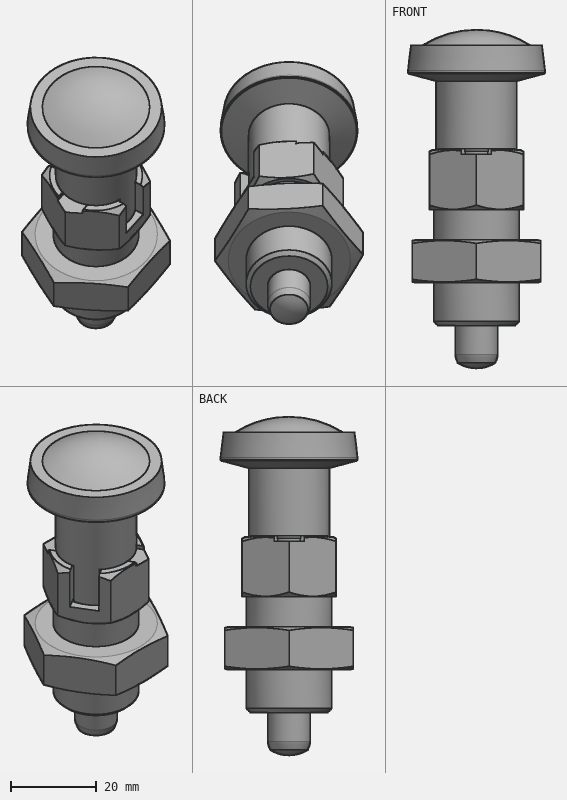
import cadquery as cq
import math


NOSE_SHOULDER_Z = 1.3
PIN_STRAIGHT_Z = 3.3
BODY_BOTTOM_Z = 10.0
NUT_BOTTOM_Z = 20.0
NUT_HEIGHT = 10.0
HEX_BOTTOM_Z = 37.0
HEX_HEIGHT = 14.0
HEX_TOP_Z = HEX_BOTTOM_Z + HEX_HEIGHT
KNOB_BOTTOM_Z = 67.0
KNOB_RIM_Z = 69.55
KNOB_SHOULDER_Z = 75.4
TOTAL_HEIGHT = 79.0

PIN_R = 10.0 / 2
NOSE_SHOULDER_R = 4.4
NOSE_FLANK_BULGE = 0.1
BODY_R = 20.0 / 2
BODY_CHAMFER = 1.0

NUT_ACROSS_FLATS = 30.0
NUT_FACE_D = 28.5
NUT_CHAMFER_ANGLE = 15.0
HEX_ACROSS_FLATS = 22.0
HEX_FACE_D = 21.6
HEX_CHAMFER_ANGLE = 30.0

NOTCH_WIDTH = 7.0
DEEP_NOTCH_DEPTH = 10.0
SHALLOW_NOTCH_DEPTH = 1.0

SLEEVE_R = 18.9 / 2
SLEEVE_GAP = 0.2
KEY_WIDTH = 6.1
SPINDLE_R = 8.0 / 2
COLLAR_R = 8.2 / 2
COLLAR_Z = 50.6

KNOB_R = 32.0 / 2
KNOB_SHOULDER_R = 15.3
RIM_BREAK = 0.25
KNOB_UNDERSIDE_ANGLE = 15.0
DOME_R = 12.5


def rise(run, angle):
    """Height gained over a radial run on a cone of the given slope in degrees."""
    return run * math.tan(math.radians(angle))


def revolve_profile(profile):
    """Turn a closed radius-height profile about the Z axis."""
    return profile.close().revolve(360, (0, 0, 0), (0, 1, 0))


def arc_sagitta(chord_radius, cap_height, radius):
    """Drop below the apex, at a given radius, of a spherical cap."""
    sphere_r = (chord_radius**2 + cap_height**2) / (2 * cap_height)
    return sphere_r - math.sqrt(sphere_r**2 - radius**2)


def make_disc(radius, bottom_z, top_z):
    """Round cylinder on the Z axis between two heights."""
    return cq.Workplane("XY", origin=(0, 0, bottom_z)).circle(radius).extrude(top_z - bottom_z)


def make_pin():
    """Locating pin with a curved flank and a shallow domed nose."""
    cap_mid_r = NOSE_SHOULDER_R / 2
    cap_mid_z = arc_sagitta(NOSE_SHOULDER_R, NOSE_SHOULDER_Z, cap_mid_r)
    flank_mid_r = (NOSE_SHOULDER_R + PIN_R) / 2 + NOSE_FLANK_BULGE
    flank_mid_z = (NOSE_SHOULDER_Z + PIN_STRAIGHT_Z) / 2
    return revolve_profile(
        cq.Workplane("XZ")
        .moveTo(0, 0)
        .threePointArc((cap_mid_r, cap_mid_z), (NOSE_SHOULDER_R, NOSE_SHOULDER_Z))
        .threePointArc((flank_mid_r, flank_mid_z), (PIN_R, PIN_STRAIGHT_Z))
        .lineTo(PIN_R, BODY_BOTTOM_Z)
        .lineTo(0, BODY_BOTTOM_Z)
    )


def make_body():
    """Threaded body as a plain cylinder with a chamfered lower end."""
    return make_disc(BODY_R, BODY_BOTTOM_Z, HEX_BOTTOM_Z).faces("<Z").chamfer(BODY_CHAMFER)


def make_hexagon(bottom_z, height, across_flats, face_d, chamfer_angle):
    """Hexagonal prism with both ends turned down to a cone of the given slope."""
    corner_r = across_flats / math.sqrt(3)
    face_r = face_d / 2
    corner_drop = rise(corner_r - face_r, chamfer_angle)
    prism = (
        cq.Workplane("XY", origin=(0, 0, bottom_z))
        .transformed(rotate=(0, 0, 90))
        .polygon(6, 2 * corner_r)
        .extrude(height)
    )
    turned_envelope = revolve_profile(
        cq.Workplane("XZ")
        .moveTo(0, bottom_z)
        .lineTo(face_r, bottom_z)
        .lineTo(corner_r, bottom_z + corner_drop)
        .lineTo(corner_r, bottom_z + height - corner_drop)
        .lineTo(face_r, bottom_z + height)
        .lineTo(0, bottom_z + height)
    )
    return prism.intersect(turned_envelope)


def cut_notches(hexagon):
    """Deep notch across the hexagon along X, shallow notch across it along Y."""
    length = 2 * HEX_ACROSS_FLATS
    top = cq.Workplane("XY", origin=(0, 0, HEX_TOP_Z))
    deep = top.rect(length, NOTCH_WIDTH).extrude(-DEEP_NOTCH_DEPTH)
    shallow = top.rect(NOTCH_WIDTH, length).extrude(-SHALLOW_NOTCH_DEPTH)
    return hexagon.cut(deep).cut(shallow)


def make_sleeve():
    """Round sleeve whose flat-sided key hangs down into the deep notch."""
    bottom_z = HEX_TOP_Z + SLEEVE_GAP
    key_bottom_z = bottom_z - DEEP_NOTCH_DEPTH
    key_bounds = (
        cq.Workplane("XY", origin=(0, 0, key_bottom_z))
        .rect(2 * SLEEVE_R, KEY_WIDTH)
        .extrude(DEEP_NOTCH_DEPTH)
    )
    key = make_disc(SLEEVE_R, key_bottom_z, bottom_z).intersect(key_bounds)
    return make_disc(SLEEVE_R, bottom_z, KNOB_BOTTOM_Z).union(key)


def make_spindle():
    """Spindle joining sleeve and hexagon, with a slightly larger collar on top."""
    spindle = make_disc(SPINDLE_R, HEX_TOP_Z - DEEP_NOTCH_DEPTH, COLLAR_Z)
    collar = make_disc(COLLAR_R, COLLAR_Z, HEX_TOP_Z + SLEEVE_GAP)
    return spindle.union(collar)


def make_knob():
    """Knob with a conical underside, straight rim band, tapered side and domed top."""
    cone_r = KNOB_R - RIM_BREAK
    cone_z = KNOB_BOTTOM_Z + rise(cone_r - SLEEVE_R, KNOB_UNDERSIDE_ANGLE)
    dome_mid_r = DOME_R / 2
    dome_mid_z = TOTAL_HEIGHT - arc_sagitta(DOME_R, TOTAL_HEIGHT - KNOB_SHOULDER_Z, dome_mid_r)
    return revolve_profile(
        cq.Workplane("XZ")
        .moveTo(0, KNOB_BOTTOM_Z)
        .lineTo(SLEEVE_R, KNOB_BOTTOM_Z)
        .lineTo(cone_r, cone_z)
        .lineTo(KNOB_R, cone_z + RIM_BREAK)
        .lineTo(KNOB_R, KNOB_RIM_Z)
        .lineTo(KNOB_SHOULDER_R, KNOB_SHOULDER_Z)
        .lineTo(DOME_R, KNOB_SHOULDER_Z)
        .threePointArc((dome_mid_r, dome_mid_z), (0, TOTAL_HEIGHT))
    )


nut = make_hexagon(NUT_BOTTOM_Z, NUT_HEIGHT, NUT_ACROSS_FLATS, NUT_FACE_D, NUT_CHAMFER_ANGLE)
body_hex = make_hexagon(HEX_BOTTOM_Z, HEX_HEIGHT, HEX_ACROSS_FLATS, HEX_FACE_D, HEX_CHAMFER_ANGLE)

result = (
    make_pin()
    .union(make_body())
    .union(nut)
    .union(cut_notches(body_hex))
    .union(make_spindle())
    .union(make_sleeve())
    .union(make_knob())
)